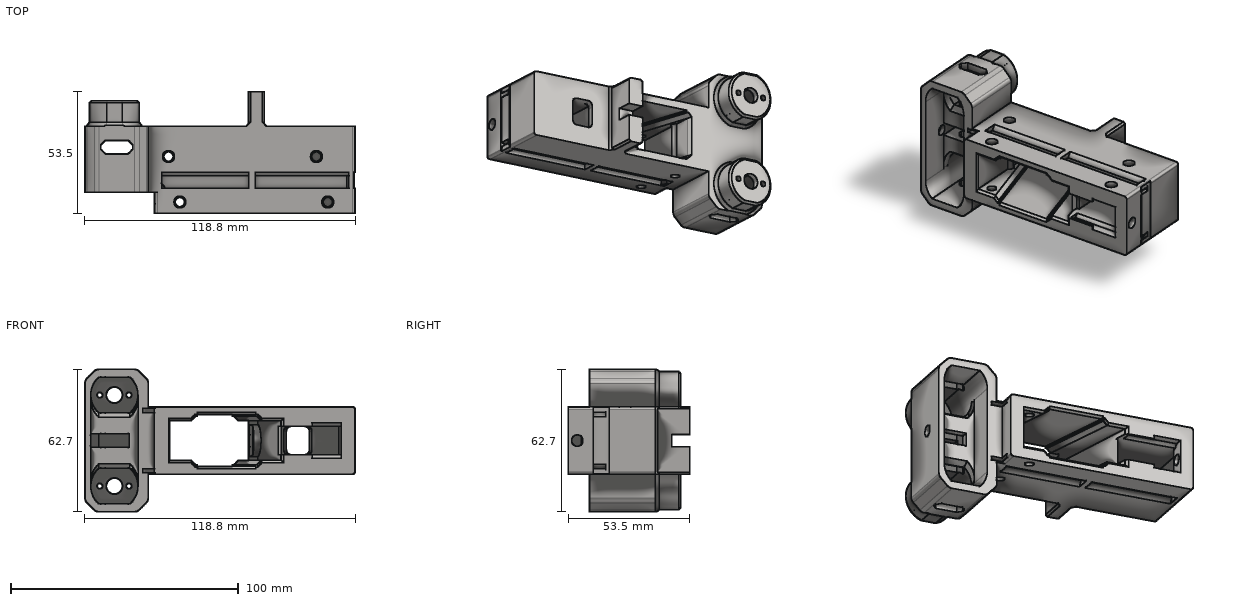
import cadquery as cq
import math


BODY_LEFT = 30.5
BODY_RIGHT = 118.75
BODY_DEPTH = 38.4
BODY_HALF_HEIGHT = 14.85
BODY_EDGE_RADIUS = 1.2

HEAD_WIDTH = 27.9
HEAD_FRONT = 9.3
HEAD_HALF_HEIGHT = 31.35
HEAD_CORNER = 4.9
HEAD_CORNER_RADIUS = 3.0
HEAD_WALL_FRONT = 22.8

BOSS_X = 12.95
BOSS_Z = 20.0
BOSS_RADIUS = 11.0
BOSS_HALF_FLAT = 10.45
BOSS_TIP = 49.55
BOSS_TIP_CHAMFER = 1.0
BOSS_FOOT_FLARE = 1.2
BOSS_FOOT_LENGTH = 1.7
POCKET_RADIUS = 10.4
POCKET_HALF_FLAT = 7.85
POCKET_LEAN = 1.86
POCKET_LEAN_DEPTH = 3.0
POCKET_FLOOR = 46.5
CENTER_HOLE_DIAMETER = 7.0
SMALL_HOLE_DIAMETER = 2.3
SMALL_HOLE_OFFSET = 6.4

CABLE_SLOT_HALF_HEIGHT = 3.05
CABLE_SLOT_START = BOSS_X - POCKET_RADIUS
CABLE_SLOT_FLAT_START = 6.1
CABLE_SLOT_END = 19.4
CABLE_SLOT_BACK = 36.4
CABLE_SLOT_RAMP_DEPTH = 3.5

HEAD_WINDOW_X = (7.0, 21.0)
HEAD_WINDOW_Y = (26.2, 32.0)
HEAD_WINDOW_CORNER = 2.0

NARROW_SLOPE = 0.24
WIDE_SLOPE = 0.27
MOUTH_BEVEL = 1.05
NARROW_LEFT_BEVEL = 0.5
WIDE_LEFT_BEVEL = 0.25
NARROW_LEFT = 37.3
NARROW_RIGHT = 86.4
NARROW_HALF_HEIGHT = 8.75
WIDE_LEFT = 49.6
WIDE_RIGHT = 75.1
WIDE_HALF_HEIGHT = 11.4
WIDE_STEP = 0.8
CAVITY_BACK = 43.1
BUTTON_RADIUS = 7.2
BUTTON_Y = 44.6
BUTTON_FRONT_LEFT = 74.3
BUTTON_RIDGE = (73.8, 41.3)
BUTTON_BACK_LEFT = 72.3

CHANNEL_LEFT = 85.0
CHANNEL_LIP_RIGHT = 112.6
CHANNEL_LIP_BACK = 7.1
CHANNEL_RIGHT = 116.0
CHANNEL_HALF_HEIGHT = 6.2
CHANNEL_LEDGE = 9.0
CHANNEL_DEEP_LEFT = 86.3
CHANNEL_FLOOR = 34.0
CHANNEL_RAMP_LEFT = 111.5
CHANNEL_RAMP_BACK = 36.5
GROOVE_HALF_HEIGHT = 7.75
GROOVE_FRONT = 1.0
GROOVE_FLAT_BACK = 4.1
GROOVE_LEFT = 87.8
LATCH_NOTCH_LEFT = 99.9
WINDOW_TAPER = 1.15
WINDOW_LEFT = 88.6
WINDOW_RIGHT = 98.6
WINDOW_CORNER = 2.0
END_HOLE_Y = 4.0
END_HOLE_DIAMETER = 5.0

TAB_LEFT = 71.9
TAB_RIGHT = 78.9
TAB_BACK = 53.5
TAB_EDGE_CHAMFER = 0.9
TAB_FOOT_FLARE = 0.9
TAB_FOOT_LENGTH = 1.9
TAB_NOTCH_HALF_HEIGHT = 2.65
TAB_NOTCH_FRONT = 45.6
TAB_NOTCH_RAMP_RIGHT = BUTTON_RIDGE[0]

STRAP_FRONT = 11.1
STRAP_BACK = 18.1
STRAP_RAMP = 1.65
STRAP_DEPTH = 2.4
STRAP_SLOTS = ((33.7, 72.0), (74.9, 115.9))
STRAP_END_GROOVE = 0.4
STRAP_TUNNEL_OUTER = 4.35
STRAP_BAR_LEG = 2.85
TIE_GROOVE_RADIUS = 5.0
TIE_GROOVE_Z = (12.3, 14.1)

SCREW_MOUTH_RADIUS = 2.6
SCREW_RADIUS = 2.05
SCREW_TAPER_DEPTH = 5.0
SCREW_BLIND_DEPTH = 6.5
SCREWS_THROUGH = ((36.75, 25.0), (41.75, 5.0))
SCREW_ROW_PITCH = 65.0
HEAD_SCREW_Y = 21.5


def box(x, y, z):
    """Box from (low, high) pairs along each axis."""
    size = (x[1] - x[0], y[1] - y[0], z[1] - z[0])
    return cq.Workplane("XY").box(*size, centered=False).translate((x[0], y[0], z[0]))


def section(y):
    """Work plane facing -Y at depth y, whose local axes are X and Z."""
    return cq.Workplane(cq.Plane(origin=(0, y, 0), xDir=(1, 0, 0), normal=(0, -1, 0)))


def loft(front_points, front_y, back_points, back_y):
    """Straight-sided solid between two X-Z outlines."""
    wires = []
    for points, y in ((front_points, front_y), (back_points, back_y)):
        wires.append(cq.Wire.makePolygon([cq.Vector(x, y, z) for x, z in points], close=True))
    return cq.Workplane(obj=cq.Solid.makeLoft(wires, True))


def rod(x, z, radius, front, back):
    """Round rod along Y."""
    return section(back).center(x, z).circle(radius).extrude(back - front)


def disc_outline(z, radius, half_flat, y):
    """Circle on the boss axis, cut flat above and below."""
    half_chord = math.sqrt(radius**2 - half_flat**2)
    return (
        section(y)
        .center(BOSS_X, z)
        .moveTo(-half_chord, -half_flat)
        .lineTo(half_chord, -half_flat)
        .threePointArc((radius, 0), (half_chord, half_flat))
        .lineTo(-half_chord, half_flat)
        .threePointArc((-radius, 0), (-half_chord, -half_flat))
        .close()
        .wires()
        .val()
    )


def disc_loft(front_outline, back_outline):
    """Solid between two flat-sided outlines."""
    return cq.Workplane(obj=cq.Solid.makeLoft([front_outline, back_outline], True))


def both_sides(solid):
    """The solid together with its mirror image below mid height."""
    return solid.union(solid.mirror("XY"))


def tapered_hole(mouth, direction, depth):
    """Screw hole that narrows from its mouth, then runs straight."""
    start = cq.Vector(*mouth)
    axis = cq.Vector(*direction)
    taper = cq.Solid.makeCone(SCREW_MOUTH_RADIUS, SCREW_RADIUS, SCREW_TAPER_DEPTH, start, axis)
    core = cq.Solid.makeCylinder(SCREW_RADIUS, depth, start, axis)
    return cq.Workplane(obj=taper).union(cq.Workplane(obj=core))


def make_body():
    z_range = (-BODY_HALF_HEIGHT, BODY_HALF_HEIGHT)
    rail = box((BODY_LEFT, BODY_RIGHT), (0, BODY_DEPTH), z_range)
    rail = rail.edges("|Y").fillet(BODY_EDGE_RADIUS)
    overlap = BODY_LEFT + BODY_EDGE_RADIUS
    link = box((HEAD_WIDTH - BODY_EDGE_RADIUS, overlap), (HEAD_FRONT, BODY_DEPTH), z_range)
    return rail.union(link)


def make_head():
    z_range = (-HEAD_HALF_HEIGHT, HEAD_HALF_HEIGHT)
    head = box((0, HEAD_WIDTH), (HEAD_FRONT, BODY_DEPTH), z_range)
    head = head.edges("|Y").chamfer(HEAD_CORNER)
    return head.edges("|Y").fillet(HEAD_CORNER_RADIUS)


def make_boss():
    rim_front = BOSS_TIP - BOSS_TIP_CHAMFER
    foot = disc_outline(
        BOSS_Z, BOSS_RADIUS + BOSS_FOOT_FLARE, BOSS_HALF_FLAT + BOSS_FOOT_FLARE, BODY_DEPTH
    )
    foot_end = disc_outline(BOSS_Z, BOSS_RADIUS, BOSS_HALF_FLAT, BODY_DEPTH + BOSS_FOOT_LENGTH)
    base = disc_outline(BOSS_Z, BOSS_RADIUS, BOSS_HALF_FLAT, BODY_DEPTH)
    rim = disc_outline(BOSS_Z, BOSS_RADIUS, BOSS_HALF_FLAT, rim_front)
    tip = disc_outline(
        BOSS_Z, BOSS_RADIUS - BOSS_TIP_CHAMFER, BOSS_HALF_FLAT - BOSS_TIP_CHAMFER, BOSS_TIP
    )
    boss = disc_loft(base, rim).union(disc_loft(rim, tip)).union(disc_loft(foot, foot_end))
    return boss.intersect(box((0, HEAD_WIDTH), (BODY_DEPTH, BOSS_TIP), (0, HEAD_HALF_HEIGHT)))


def make_tab():
    x_range = (TAB_LEFT, TAB_RIGHT)
    z_range = (-BODY_HALF_HEIGHT, BODY_HALF_HEIGHT)
    tab = box(x_range, (BODY_DEPTH, TAB_BACK), z_range)
    tab = tab.edges("|Y").chamfer(TAB_EDGE_CHAMFER)
    foot_profile = [
        (TAB_LEFT - TAB_FOOT_FLARE, BODY_DEPTH),
        (TAB_LEFT + TAB_EDGE_CHAMFER, BODY_DEPTH + TAB_FOOT_LENGTH),
        (TAB_RIGHT - TAB_EDGE_CHAMFER, BODY_DEPTH + TAB_FOOT_LENGTH),
        (TAB_RIGHT + TAB_FOOT_FLARE, BODY_DEPTH),
    ]
    foot = cq.Workplane("XY").polyline(foot_profile).close()
    foot = foot.extrude(BODY_HALF_HEIGHT, both=True)
    notch_z = (-TAB_NOTCH_HALF_HEIGHT, TAB_NOTCH_HALF_HEIGHT)
    notch = box(x_range, (TAB_NOTCH_FRONT, TAB_BACK), notch_z)
    ramp_profile = [
        (TAB_LEFT, CAVITY_BACK),
        (TAB_LEFT, TAB_NOTCH_FRONT),
        (TAB_NOTCH_RAMP_RIGHT, CAVITY_BACK),
    ]
    ramp_gap = cq.Workplane("XY").polyline(ramp_profile).close()
    ramp_gap = ramp_gap.extrude(TAB_NOTCH_HALF_HEIGHT, both=True)
    return tab.union(foot).cut(notch).cut(ramp_gap)


def head_cavity():
    """Open front space of the head, rounded to match the boss pockets."""
    top = BOSS_Z + POCKET_HALF_FLAT
    x_range = (BOSS_X - POCKET_RADIUS, BOSS_X + POCKET_RADIUS)
    middle = box(x_range, (HEAD_FRONT, HEAD_WALL_FRONT), (-BOSS_Z, BOSS_Z))
    end = rod(BOSS_X, BOSS_Z, POCKET_RADIUS, HEAD_FRONT, HEAD_WALL_FRONT)
    end = end.intersect(box(x_range, (HEAD_FRONT, HEAD_WALL_FRONT), (0, top)))
    return middle.union(both_sides(end))


def boss_pocket():
    """Pocket into the boss whose inner side leans towards mid height at its mouth."""
    mouth = disc_outline(BOSS_Z, POCKET_RADIUS, POCKET_HALF_FLAT, HEAD_WALL_FRONT)
    floor = disc_outline(BOSS_Z, POCKET_RADIUS, POCKET_HALF_FLAT, POCKET_FLOOR)
    leaning_mouth = disc_outline(
        BOSS_Z - POCKET_LEAN, POCKET_RADIUS, POCKET_HALF_FLAT, HEAD_WALL_FRONT
    )
    throat_y = HEAD_WALL_FRONT + POCKET_LEAN_DEPTH
    throat = disc_outline(BOSS_Z, POCKET_RADIUS, POCKET_HALF_FLAT, throat_y)
    pocket = disc_loft(mouth, floor).union(disc_loft(leaning_mouth, throat))
    pocket = pocket.union(rod(BOSS_X, BOSS_Z, CENTER_HOLE_DIAMETER / 2, POCKET_FLOOR, BOSS_TIP))
    for side in (-1, 1):
        x = BOSS_X + side * SMALL_HOLE_OFFSET
        pocket = pocket.union(rod(x, BOSS_Z, SMALL_HOLE_DIAMETER / 2, POCKET_FLOOR, BOSS_TIP))
    return pocket


def cable_slot():
    profile = [
        (CABLE_SLOT_START, HEAD_WALL_FRONT),
        (CABLE_SLOT_START, CABLE_SLOT_BACK - CABLE_SLOT_RAMP_DEPTH),
        (CABLE_SLOT_FLAT_START, CABLE_SLOT_BACK),
        (CABLE_SLOT_END, CABLE_SLOT_BACK),
        (CABLE_SLOT_END, HEAD_WALL_FRONT),
    ]
    slot = cq.Workplane("XY").polyline(profile).close()
    return slot.extrude(CABLE_SLOT_HALF_HEIGHT, both=True)


def head_window():
    window = box(HEAD_WINDOW_X, HEAD_WINDOW_Y, (-HEAD_HALF_HEIGHT, HEAD_HALF_HEIGHT))
    return window.edges("|Z").chamfer(HEAD_WINDOW_CORNER)


def rectangle_points(left, right, half_height):
    return [(left, -half_height), (right, -half_height), (right, half_height), (left, half_height)]


def stepped_octagon_points(left, right, half_height, waist):
    """Outline with 45 degree corners from the waist up, stepped in just below its flats."""
    flare = half_height - waist
    corner = [
        (flare, waist),
        (WIDE_STEP, half_height - WIDE_STEP),
        (0, half_height - WIDE_STEP),
        (0, half_height),
    ]
    upper_right = [(right + dx, z) for dx, z in corner]
    upper_left = [(left - dx, z) for dx, z in reversed(corner)]
    upper = upper_right + upper_left
    lower = [(x, -z) for x, z in reversed(upper)]
    return upper + lower


def device_cavity():
    narrow_front = rectangle_points(NARROW_LEFT, NARROW_RIGHT, NARROW_HALF_HEIGHT)
    narrow_back_right = NARROW_RIGHT - NARROW_SLOPE * CAVITY_BACK
    narrow_back = rectangle_points(NARROW_LEFT, narrow_back_right, NARROW_HALF_HEIGHT)
    wide_shift = WIDE_SLOPE * BODY_DEPTH
    wide_front = stepped_octagon_points(WIDE_LEFT, WIDE_RIGHT, WIDE_HALF_HEIGHT, NARROW_HALF_HEIGHT)
    wide_back = [(x - wide_shift, z) for x, z in wide_front]
    narrow_mouth = rectangle_points(
        NARROW_LEFT - NARROW_LEFT_BEVEL,
        NARROW_RIGHT + MOUTH_BEVEL,
        NARROW_HALF_HEIGHT + MOUTH_BEVEL,
    )
    wide_mouth = stepped_octagon_points(
        WIDE_LEFT - WIDE_LEFT_BEVEL,
        WIDE_RIGHT,
        WIDE_HALF_HEIGHT + MOUTH_BEVEL,
        NARROW_HALF_HEIGHT + MOUTH_BEVEL,
    )
    cavity = loft(narrow_front, 0, narrow_back, CAVITY_BACK)
    cavity = cavity.union(loft(wide_front, 0, wide_back, BODY_DEPTH))
    cavity = cavity.union(loft(narrow_mouth, 0, narrow_front, MOUTH_BEVEL))
    cavity = cavity.union(loft(wide_mouth, 0, wide_front, MOUTH_BEVEL))
    return cavity.cut(button())


def button():
    """Round stop that stands on the slanted cavity wall, under the tab."""
    front = BUTTON_Y - BUTTON_RADIUS
    plane = cq.Workplane("YZ", origin=(BUTTON_BACK_LEFT, 0, 0)).center(BUTTON_Y, 0)
    disc = plane.circle(BUTTON_RADIUS).extrude(TAB_RIGHT - BUTTON_BACK_LEFT)
    profile = [
        (BUTTON_FRONT_LEFT, front),
        BUTTON_RIDGE,
        (BUTTON_BACK_LEFT, CAVITY_BACK),
        (TAB_RIGHT, CAVITY_BACK),
        (TAB_RIGHT, front),
    ]
    return disc.intersect(cq.Workplane("XY").polyline(profile).close().extrude(BUTTON_RADIUS, both=True))


def side_channel():
    z_range = (-CHANNEL_HALF_HEIGHT, CHANNEL_HALF_HEIGHT)
    groove_z = (-GROOVE_HALF_HEIGHT, GROOVE_HALF_HEIGHT)
    slope = GROOVE_HALF_HEIGHT - CHANNEL_HALF_HEIGHT
    channel = box((CHANNEL_LEFT, CHANNEL_LIP_RIGHT), (0, CHANNEL_LEDGE), z_range)
    deep = box((CHANNEL_DEEP_LEFT, CHANNEL_RIGHT), (CHANNEL_LEDGE, CHANNEL_FLOOR), z_range)
    behind_lip = box((GROOVE_LEFT, CHANNEL_RIGHT), (CHANNEL_LIP_BACK, CHANNEL_FLOOR), z_range)
    ramp_profile = [
        (CHANNEL_RAMP_LEFT, CHANNEL_FLOOR),
        (CHANNEL_RIGHT, CHANNEL_FLOOR),
        (CHANNEL_RIGHT, CHANNEL_RAMP_BACK),
    ]
    ramp = cq.Workplane("XY").polyline(ramp_profile).close()
    ramp = ramp.extrude(CHANNEL_HALF_HEIGHT, both=True)
    groove = box((GROOVE_LEFT, CHANNEL_LIP_RIGHT), (GROOVE_FRONT, GROOVE_FLAT_BACK), groove_z)
    groove_slope = loft(
        rectangle_points(GROOVE_LEFT, CHANNEL_LIP_RIGHT, GROOVE_HALF_HEIGHT),
        GROOVE_FLAT_BACK,
        rectangle_points(GROOVE_LEFT, CHANNEL_LIP_RIGHT, CHANNEL_HALF_HEIGHT),
        GROOVE_FLAT_BACK + slope,
    )
    latch_notch = box((LATCH_NOTCH_LEFT, CHANNEL_LIP_RIGHT), (0, GROOVE_FLAT_BACK), groove_z)
    window_profile = [
        (WINDOW_LEFT - WINDOW_TAPER, CHANNEL_FLOOR),
        (WINDOW_RIGHT + WINDOW_TAPER, CHANNEL_FLOOR),
        (WINDOW_RIGHT, BODY_DEPTH),
        (WINDOW_LEFT, BODY_DEPTH),
    ]
    window = cq.Workplane("XY").polyline(window_profile).close()
    window = window.extrude(CHANNEL_HALF_HEIGHT, both=True)
    window = window.edges("not(|X or |Z)").fillet(WINDOW_CORNER)
    channel = channel.union(deep).union(behind_lip).union(ramp).union(groove).union(groove_slope)
    return channel.union(latch_notch).union(window)


def end_hole():
    plane = cq.Workplane("YZ", origin=(CHANNEL_LIP_RIGHT, 0, 0)).center(END_HOLE_Y, 0)
    return plane.circle(END_HOLE_DIAMETER / 2).extrude(BODY_RIGHT - CHANNEL_LIP_RIGHT)


def strap_slot(left, right):
    """Slot in the top face with a sloped back wall."""
    floor = BODY_HALF_HEIGHT - STRAP_DEPTH
    profile = [
        (STRAP_FRONT, floor),
        (STRAP_BACK - STRAP_RAMP, floor),
        (STRAP_BACK, BODY_HALF_HEIGHT),
        (STRAP_FRONT, BODY_HALF_HEIGHT),
    ]
    return cq.Workplane("YZ", origin=(left, 0, 0)).polyline(profile).close().extrude(right - left)


def strap_tunnel():
    """Strap passage around the upper +X edge of the body, leaving a three-sided bar."""
    back = STRAP_BACK - STRAP_RAMP
    outer = rod(BODY_RIGHT, BODY_HALF_HEIGHT, STRAP_TUNNEL_OUTER, STRAP_FRONT, back)
    bar_profile = [
        (BODY_RIGHT, BODY_HALF_HEIGHT),
        (BODY_RIGHT - STRAP_BAR_LEG, BODY_HALF_HEIGHT),
        (BODY_RIGHT, BODY_HALF_HEIGHT - STRAP_BAR_LEG),
    ]
    bar = section(back).polyline(bar_profile).close().extrude(back - STRAP_FRONT)
    return outer.cut(bar)


def strap_end_groove():
    x_range = (BODY_RIGHT - STRAP_END_GROOVE, BODY_RIGHT)
    return box(x_range, (STRAP_FRONT, STRAP_BACK), (-BODY_HALF_HEIGHT, BODY_HALF_HEIGHT))


def tie_groove():
    """Round groove across the inner corner between head and body."""
    plane = cq.Workplane("XY", origin=(BODY_LEFT, HEAD_FRONT, TIE_GROOVE_Z[0]))
    return plane.circle(TIE_GROOVE_RADIUS).extrude(TIE_GROOVE_Z[1] - TIE_GROOVE_Z[0])


def screw_holes():
    down = (0, 0, -1)
    holes = cq.Workplane()
    for x, y in SCREWS_THROUGH:
        through = tapered_hole((x, y, BODY_HALF_HEIGHT), down, 2 * BODY_HALF_HEIGHT)
        blind = tapered_hole((x + SCREW_ROW_PITCH, y, BODY_HALF_HEIGHT), down, SCREW_BLIND_DEPTH)
        holes = holes.add(through).add(blind)
    cavity_wall = BOSS_X - POCKET_RADIUS
    holes = holes.add(tapered_hole((0, HEAD_SCREW_Y, 0), (1, 0, 0), cavity_wall))
    return holes.combine()


result = make_body().union(make_head()).union(both_sides(make_boss()))
result = result.union(make_tab())

result = result.cut(head_cavity()).cut(both_sides(boss_pocket()))
result = result.cut(cable_slot()).cut(head_window())
result = result.cut(device_cavity()).cut(side_channel()).cut(end_hole())
for slot_left, slot_right in STRAP_SLOTS:
    result = result.cut(both_sides(strap_slot(slot_left, slot_right)))
result = result.cut(both_sides(strap_tunnel())).cut(strap_end_groove())
result = result.cut(both_sides(tie_groove())).cut(screw_holes())